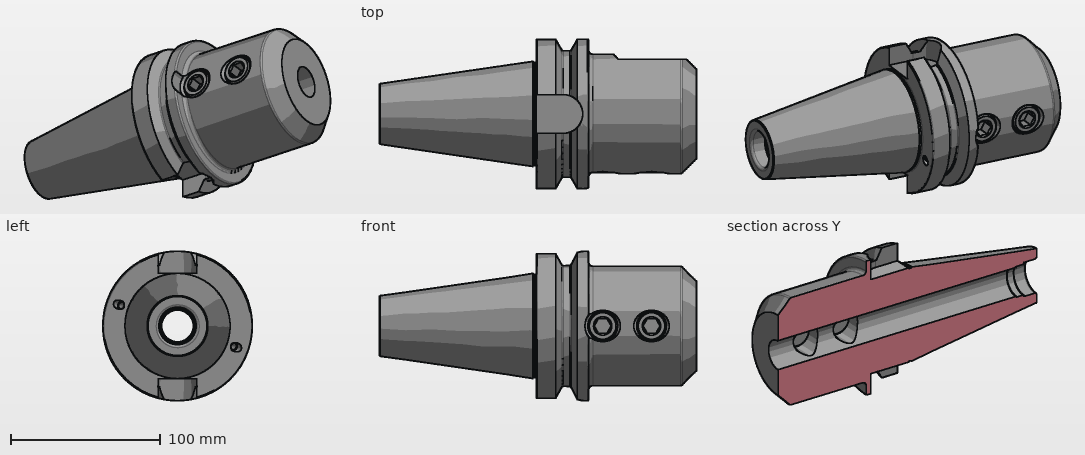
import cadquery as cq
import math


total_length = 211.8
gauge_x = 102.3
flange_front_x = 104.8
flange_back_x = 139.8

taper_radius = 35.2
taper_slope = 7 / 48
taper_small_radius = taper_radius - gauge_x * taper_slope
shank_edge_chamfer = 0.6
neck_step = 0.6
neck_root_fillet = 0.6

flange_radius = 50.0
flange_front_fillet = 0.6
flange_back_fillet = 1.0
groove_floor_radius = 42.4
groove_center_x = 125.0
groove_floor_width = 5.7
groove_root_fillet = 1.0
groove_depth = flange_radius - groove_floor_radius
groove_flare = groove_depth * math.tan(math.radians(30))

slot_width = 25.8
slot_floor_z = 35.2
slot_end_x = 135.8

nose_radius = 40.0
nose_root_fillet = 2.5
nose_chamfer = 10.2
nose_edge_fillet = 2.0
relief_start_x = 159.5
relief_y = 36.6

bore_radius = 10.5
counterbore_radius = 12.5
counterbore_depth = 10.5
mouth_fillet = 2.0
thread_radius = 11.2
thread_chamfer = 0.6
thread_end_x = 17.0

coolant_mouth_radius = 3.0
coolant_radius = 2.3
coolant_pitch_radius = 41.7
coolant_angles = (20, 200)
coolant_tilt = 35
coolant_mouth_depth = 3.4
coolant_depth = 29.7

screw_pitch = 32.6
screw_first_x = 149.1
screw_count = 2
screw_xs = [screw_first_x + i * screw_pitch for i in range(screw_count)]
screw_radius = 10.0
screw_length = 20.0
screw_chamfer = 1.0
screw_head_y = -39.2
screw_seat_radius = 11.9
hex_across_flats = 10.0
hex_depth = 10.0
hex_mouth_radius = 6.1


def cylinder_along(start, direction, radius, length):
    return cq.Workplane(obj=cq.Solid.makeCylinder(radius, length, cq.Vector(*start), cq.Vector(*direction)))


def cone_along(start, direction, start_radius, end_radius, length):
    cone = cq.Solid.makeCone(start_radius, end_radius, length, cq.Vector(*start), cq.Vector(*direction))
    return cq.Workplane(obj=cone)


def revolve_rounded(corners):
    """Revolve an outline about X. Each corner is (x, radius from axis, rounding radius)."""
    outline = None
    for i, (x, r, rounding) in enumerate(corners):
        corner = cq.Vector(x, r)
        if rounding == 0:
            arc = None
            entry = corner
        else:
            back = (cq.Vector(*corners[i - 1][:2]) - corner).normalized()
            ahead = (cq.Vector(*corners[i + 1][:2]) - corner).normalized()
            half_angle = back.getAngle(ahead) / 2
            tangent_length = rounding / math.tan(half_angle)
            arc_offset = rounding / math.sin(half_angle) - rounding
            entry = corner + back * tangent_length
            arc = (corner + (back + ahead).normalized() * arc_offset, corner + ahead * tangent_length)
        if outline is None:
            outline = cq.Workplane("XY").moveTo(entry.x, entry.y)
        else:
            outline = outline.lineTo(entry.x, entry.y)
        if arc is not None:
            outline = outline.threePointArc(arc[0].toTuple()[:2], arc[1].toTuple()[:2])
    return outline.close().revolve(360, (0, 0, 0), (1, 0, 0))


def make_turned_body():
    edge_radius = taper_small_radius + shank_edge_chamfer * taper_slope
    half_floor = groove_floor_width / 2
    half_mouth = half_floor + groove_flare
    return revolve_rounded([
        (0, 0, 0),
        (0, edge_radius - shank_edge_chamfer, 0),
        (shank_edge_chamfer, edge_radius, 0),
        (gauge_x, taper_radius, 0),
        (gauge_x + neck_step, taper_radius - neck_step, 0),
        (flange_front_x, taper_radius - neck_step, neck_root_fillet),
        (flange_front_x, flange_radius, flange_front_fillet),
        (groove_center_x - half_mouth, flange_radius, 0),
        (groove_center_x - half_floor, groove_floor_radius, groove_root_fillet),
        (groove_center_x + half_floor, groove_floor_radius, groove_root_fillet),
        (groove_center_x + half_mouth, flange_radius, 0),
        (flange_back_x, flange_radius, flange_back_fillet),
        (flange_back_x, nose_radius, nose_root_fillet),
        (total_length - nose_chamfer, nose_radius, nose_edge_fillet),
        (total_length, nose_radius - nose_chamfer, 0),
        (total_length, 0, 0),
    ])


def make_bore():
    """Through bore with a thread core and a counterbore; the mouth is flared to a rounded lip."""
    bore = revolve_rounded([
        (0, 0, 0),
        (0, counterbore_radius, 0),
        (counterbore_depth, counterbore_radius, 0),
        (counterbore_depth, thread_radius + thread_chamfer, 0),
        (counterbore_depth + thread_chamfer, thread_radius, 0),
        (thread_end_x, thread_radius, 0),
        (thread_end_x, bore_radius, 0),
        (total_length, bore_radius, 0),
        (total_length, 0, 0),
    ])
    lip = (
        cq.Workplane("XY")
        .moveTo(0, 0)
        .lineTo(0, counterbore_radius + mouth_fillet)
        .radiusArc((mouth_fillet, counterbore_radius), -mouth_fillet)
        .lineTo(mouth_fillet, 0)
        .close()
        .revolve(360, (0, 0, 0), (1, 0, 0))
    )
    return bore.union(lip)


def make_drive_slot(side):
    """Round-ended slot through the flange; side is +1 for +Z, -1 for -Z."""
    half_width = slot_width / 2
    straight_end = slot_end_x - half_width
    return (
        cq.Workplane("XY", origin=(0, 0, side * slot_floor_z))
        .moveTo(gauge_x, -half_width)
        .lineTo(straight_end, -half_width)
        .threePointArc((slot_end_x, 0), (straight_end, half_width))
        .lineTo(gauge_x, half_width)
        .close()
        .extrude(side * flange_radius)
    )


def make_relief():
    """Flat along the +Y side of the nose, entered by a 45 degree ramp."""
    rise = flange_radius - relief_y
    return (
        cq.Workplane("XY")
        .moveTo(relief_start_x, relief_y)
        .lineTo(total_length, relief_y)
        .lineTo(total_length, flange_radius)
        .lineTo(relief_start_x - rise, flange_radius)
        .close()
        .extrude(nose_radius, both=True)
    )


def make_coolant_hole(angle):
    """Stepped blind hole from the flange face, leaning towards the axis."""
    tilt = math.radians(coolant_tilt)
    out_y = math.cos(math.radians(angle))
    out_z = math.sin(math.radians(angle))
    inward = math.sin(tilt)
    direction = (math.cos(tilt), -inward * out_y, -inward * out_z)
    overrun = 2 * coolant_mouth_radius
    mouth = (flange_front_x, coolant_pitch_radius * out_y, coolant_pitch_radius * out_z)
    start = tuple(m - overrun * d for m, d in zip(mouth, direction))
    wide_part = cylinder_along(start, direction, coolant_mouth_radius, coolant_mouth_depth + overrun)
    narrow_part = cylinder_along(start, direction, coolant_radius, coolant_depth + overrun)
    return wide_part.union(narrow_part)


def make_screw_hole(x):
    """Hole from -Y into the bore, countersunk and cleared out past the flange rim."""
    seat_depth = screw_seat_radius - screw_radius
    outward = (0, -1, 0)
    hole = cylinder_along((x, 0, 0), outward, screw_radius, nose_radius)
    seat = cone_along((x, seat_depth - nose_radius, 0), outward, screw_radius, screw_seat_radius, seat_depth)
    clearance = cylinder_along((x, -nose_radius, 0), outward, screw_seat_radius, flange_radius - nose_radius)
    return hole.union(seat).union(clearance)


def make_holder():
    holder = make_turned_body().cut(make_relief()).cut(make_bore())
    for side in (1, -1):
        holder = holder.cut(make_drive_slot(side))
    for angle in coolant_angles:
        holder = holder.cut(make_coolant_hole(angle))
    for x in screw_xs:
        holder = holder.cut(make_screw_hole(x))
    return holder


def make_set_screw(x):
    hex_across_corners = hex_across_flats / math.cos(math.radians(30))
    body = cylinder_along((x, screw_head_y, 0), (0, 1, 0), screw_radius, screw_length)
    body = body.faces("<Y or >Y").chamfer(screw_chamfer)
    socket = (
        cq.Workplane("XZ", origin=(x, screw_head_y, 0))
        .polygon(6, hex_across_corners)
        .extrude(-hex_depth)
    )
    mouth = cone_along((x, screw_head_y, 0), (0, 1, 0), hex_mouth_radius, 0, hex_mouth_radius)
    return body.cut(socket).cut(mouth)


holder = make_holder()
set_screws = [make_set_screw(x) for x in screw_xs]

result = cq.Compound.makeCompound([holder.val(), *[screw.val() for screw in set_screws]])